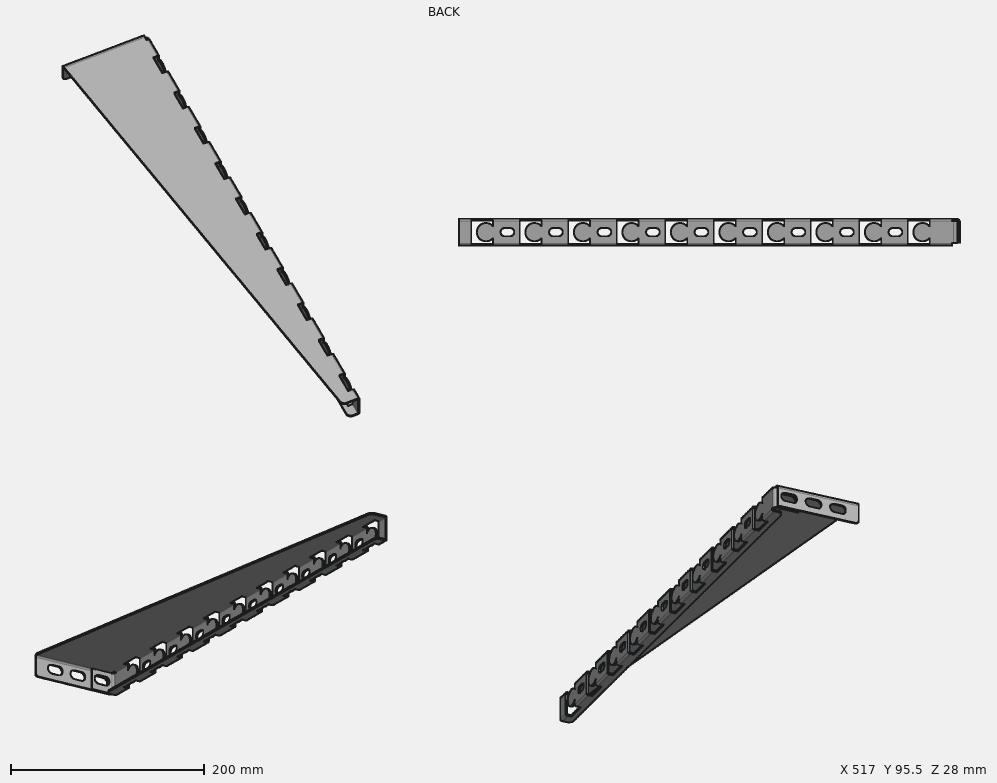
import cadquery as cq
import math

length = 517.0
depth = 95.5
height = 28.0

sheet = 2.0
end_bend_radius = 4.0
web_bend_radius = 2.35
fold_start = 8.5
corner_relief = 3.35
web_fold_lap = 5.0

tip_depth = 19.5
tip_radius = 5.0

lip_depth = 13.0
lip_corner_radius = 5.0

end_flange_bottom = 3.0
end_flange_corner_radius = 3.0
tab_face = 2.85
tab_margin = 2.5
tab_reach = 28.5
end_slot_length = 18.0
end_slot_height = 10.0
end_slot_pitch = 28.0
end_slot_count = 3
first_end_slot = 16.0
end_slot_z = 15.0

notch_count = 10
first_notch = 31.5
notch_row_length = 450.5
notch_pitch = notch_row_length / (notch_count - 1)
notch_length = 22.0
notch_depth = 6.5
tongue_diameter = 19.0
tongue_offset = 7.0
web_slot_length = 14.0
web_slot_height = 8.5
web_slot_offset = 35.0

web_z = height / 2


def bent_sheet(origin, along, normal, leg_along, leg_across, radius, width):
    """L-shaped sheet with its outer corner at origin, extruded along normal.

    One leg runs along the given direction, the other across it (normal x along).
    """
    diagonal = math.sqrt(0.5)
    inner_radius = radius - sheet
    outer_mid = radius - radius * diagonal
    inner_mid = radius - inner_radius * diagonal
    profile = (
        cq.Workplane(cq.Plane(origin=origin, xDir=along, normal=normal))
        .moveTo(0, leg_across)
        .lineTo(0, radius)
        .threePointArc((outer_mid, outer_mid), (radius, 0))
        .lineTo(leg_along, 0)
        .lineTo(leg_along, sheet)
        .lineTo(radius, sheet)
        .threePointArc((inner_mid, inner_mid), (sheet, radius))
        .lineTo(sheet, leg_across)
        .close()
    )
    return profile.extrude(width)


def plate_with_end_flange():
    """Tapered top plate folded down into the end flange."""
    folded = bent_sheet(
        (0, -depth, height), (1, 0, 0), (0, 1, 0),
        length, height - end_flange_bottom, end_bend_radius, depth - corner_relief,
    )
    folded = folded.edges("|X and <Z").edges("<Y").fillet(end_flange_corner_radius)
    outline = (
        cq.Workplane("XY")
        .polyline([(0, 0), (0, -depth), (end_bend_radius, -depth), (length, -tip_depth), (length, 0)])
        .close()
        .extrude(height)
        .edges("|Z and >X")
        .edges("<Y")
        .fillet(tip_radius)
    )
    return folded.intersect(outline)


def web_with_folds():
    """Upper and lower halves of the web, folded into the top plate and the lip."""
    run = length - fold_start
    upper = bent_sheet(
        (fold_start, 0, height), (0, -1, 0), (1, 0, 0),
        web_fold_lap, height - web_z, web_bend_radius, run,
    )
    lower = bent_sheet(
        (length, 0, 0), (0, -1, 0), (-1, 0, 0),
        lip_depth, web_z, web_bend_radius, run,
    )
    lower = lower.edges("|Z").edges("<Y").fillet(lip_corner_radius)
    return upper.union(lower)


def web_tab():
    """End of the web folded inward, just behind the end flange."""
    return bent_sheet(
        (tab_face, 0, height - tab_margin), (1, 0, 0), (0, 0, -1),
        fold_start - tab_face, tab_reach, end_bend_radius, height - 2 * tab_margin,
    )


def end_slots():
    """Slots through the end flange; the first also passes through the tab."""
    centres = [(-first_end_slot - i * end_slot_pitch, end_slot_z) for i in range(end_slot_count)]
    return (
        cq.Workplane("YZ")
        .pushPoints(centres)
        .slot2D(end_slot_length, end_slot_height)
        .extrude(tab_face + sheet)
    )


def web_notch(start):
    """Notch across the web and its folds that leaves a round tongue in the web."""
    opening = cq.Workplane("XY").box(notch_length, notch_depth, height, centered=False)
    opening = opening.translate((start, -notch_depth, 0))
    tongue = (
        cq.Workplane("XZ", origin=(start + tongue_offset, 0, web_z))
        .circle(tongue_diameter / 2)
        .extrude(sheet)
    )
    return opening.cut(tongue)


def web_slot(notch_start):
    """Slot through the web after the notch that begins at notch_start."""
    return (
        cq.Workplane("XZ", origin=(notch_start + web_slot_offset, 0, web_z))
        .slot2D(web_slot_length, web_slot_height)
        .extrude(sheet)
    )


result = plate_with_end_flange().union(web_with_folds()).union(web_tab())
result = result.cut(end_slots())
for index in range(notch_count):
    notch_start = first_notch + index * notch_pitch
    result = result.cut(web_notch(notch_start))
    if index < notch_count - 1:
        result = result.cut(web_slot(notch_start))